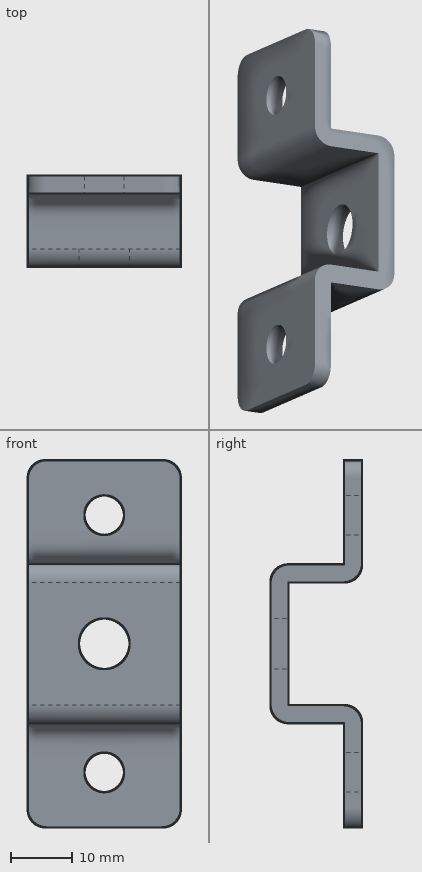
import cadquery as cq

length = 60.0
width = 25.0
depth = 15.0
thickness = 3.0
channel_height = 20.0
bend_radius = 3.0
corner_radius = 3.0
flange_hole_diameter = 6.4
flange_hole_spacing = 42.0
center_hole_diameter = 8.2

back = depth / 2
front = -depth / 2
flange_face = back - thickness
end = length / 2
channel_half = channel_height / 2
hat_half = channel_half + thickness


def hat_profile():
    """Closed bracket section in the YZ plane, with every corner sharp."""
    upper = [
        (back, channel_half),
        (back, end),
        (flange_face, end),
        (flange_face, hat_half),
        (front, hat_half),
    ]
    lower = [(y, -z) for y, z in reversed(upper)]
    plate_inside = front + thickness
    return upper + lower + [(plate_inside, -channel_half), (plate_inside, channel_half)]


def edges_along_x(solid, y, z):
    """Edges running across the full width at the given section point."""
    margin = thickness / 10
    return solid.edges(
        cq.selectors.BoxSelector(
            (-margin, y - margin, z - margin), (margin, y + margin, z + margin)
        )
    )


def through_holes(diameter, heights):
    """Cutters along Y, long enough to pass through the whole depth."""
    return (
        cq.Workplane("XZ", origin=(0, back, 0))
        .pushPoints([(0, z) for z in heights])
        .circle(diameter / 2)
        .extrude(depth)
    )


bracket = cq.Workplane("YZ").polyline(hat_profile()).close().extrude(width / 2, both=True)

for side in (1, -1):
    for y, z in ((back, channel_half), (front, hat_half)):
        bracket = edges_along_x(bracket, y, side * z).fillet(bend_radius)

bracket = bracket.faces("<Z or >Z").edges("|Y").fillet(corner_radius)

half_spacing = flange_hole_spacing / 2
bracket = bracket.cut(through_holes(flange_hole_diameter, (half_spacing, -half_spacing)))
result = bracket.cut(through_holes(center_hole_diameter, (0,)))